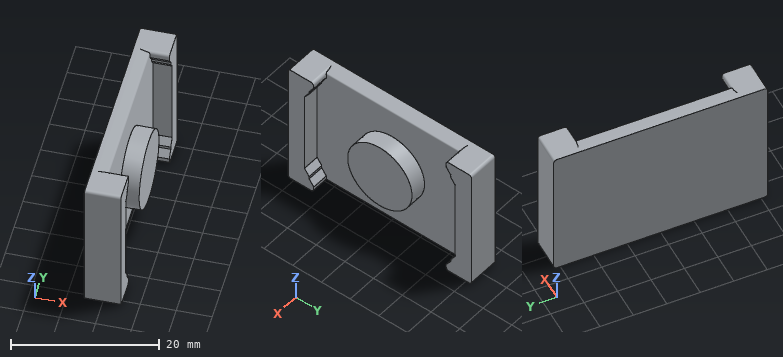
import cadquery as cq

depth = 5.1
width = 32.0
height = 21.0
edge_radius = 0.5

plate_thickness = 2.4
rim_width = 0.77
rim_drop = 0.2
rim_radius = 0.3

arm_width = 4.48
tip_flat = 0.48
step_back = 0.8
step_rise = 1.1
step_flat = 0.4

boss_diameter = 11.2

half_width = width / 2
half_height = height / 2


def make_block():
    block = cq.Workplane("XY").box(depth, width, height, centered=(False, True, True))
    return block.edges("|X").fillet(edge_radius)


def make_arm_envelope(side):
    """Stepped arm outline extruded through the depth; side is +1 or -1 along Y."""
    tip_y = half_width - arm_width
    ledge_y = tip_y + step_back
    wall_y = ledge_y + step_back
    tip_z = half_height - edge_radius - tip_flat
    ledge_z = tip_z - step_rise
    lower_ledge_z = ledge_z - step_flat
    wall_z = lower_ledge_z - step_rise
    upper_points = [
        (tip_y, half_height),
        (tip_y, tip_z),
        (ledge_y, ledge_z),
        (ledge_y, lower_ledge_z),
        (wall_y, wall_z),
    ]
    lower_points = [(y, -z) for y, z in reversed(upper_points)]
    outer_points = [(half_width, -half_height), (half_width, half_height)]
    outline = [(side * y, z) for y, z in upper_points + lower_points + outer_points]
    arm = cq.Workplane("YZ").polyline(outline).close().extrude(depth)
    return arm.edges("|X and (>Z or <Z)").fillet(edge_radius)


def make_plate():
    """Plate whose long edges slope down from a flat rim and round into the front face."""
    rim_z = half_height - rim_drop
    outline = [
        (0, -half_height),
        (rim_width, -half_height),
        (plate_thickness, -rim_z),
        (plate_thickness, rim_z),
        (rim_width, half_height),
        (0, half_height),
    ]
    plate = cq.Workplane("XZ").polyline(outline).close().extrude(half_width, both=True)
    return plate.edges("|Y and >X").fillet(rim_radius).intersect(make_block())


def make_boss():
    return cq.Workplane("YZ").circle(boss_diameter / 2).extrude(depth)


result = make_plate().union(make_boss())
for side in (-1, 1):
    result = result.union(make_arm_envelope(side))